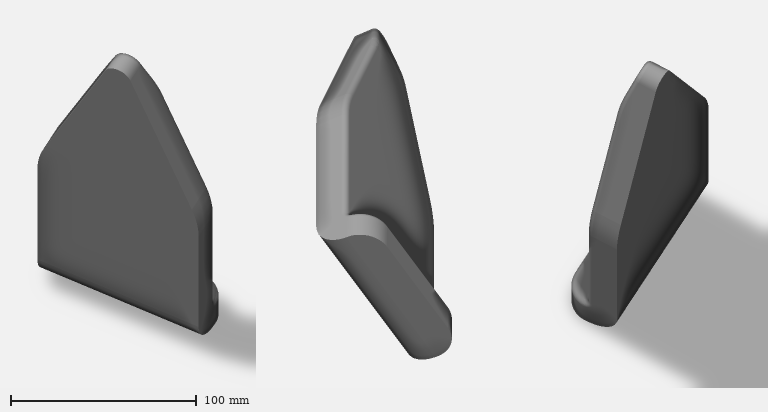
import cadquery as cq
import math

width = 98.0
depth = 35.0
height = 223.5
half_width = width / 2

shoulder_z = 103.5
shoulder_radius = 58.1
tip_radius = 8.0

plate_thickness = 18.8
foot_thickness = 19.0
foot_slope = math.radians(5)
heel_radius = 20.1
inner_radius = 3.4
bevel_start_z = 190.0
bevel_angle = math.radians(13)
bevel_blend_radius = 55.9

foot_corner_radius = 15.6
edge_radius = 3.1


def on_circle(center, radius, angle):
    return (center[0] + radius * math.cos(angle), center[1] + radius * math.sin(angle))


def mirrored(point):
    return (-point[0], point[1])


def make_front_outline():
    """Pointed outline in XZ, extruded through the full depth."""
    shoulder_center = (half_width - shoulder_radius, shoulder_z)
    tip_center = (0, height - tip_radius)
    run = tip_center[0] - shoulder_center[0]
    rise = tip_center[1] - shoulder_center[1]
    radius_change = shoulder_radius - tip_radius
    flank_angle = math.asin(radius_change / math.hypot(run, rise)) - math.atan2(run, rise)

    shoulder_mid = on_circle(shoulder_center, shoulder_radius, flank_angle / 2)
    shoulder_end = on_circle(shoulder_center, shoulder_radius, flank_angle)
    tip_start = on_circle(tip_center, tip_radius, flank_angle)
    return (
        cq.Workplane("XZ")
        .moveTo(-half_width, 0)
        .lineTo(half_width, 0)
        .lineTo(half_width, shoulder_z)
        .threePointArc(shoulder_mid, shoulder_end)
        .lineTo(*tip_start)
        .threePointArc((0, height), mirrored(tip_start))
        .lineTo(*mirrored(shoulder_end))
        .threePointArc(mirrored(shoulder_mid), (-half_width, shoulder_z))
        .close()
        .extrude(-depth)
    )


def make_side_profile():
    """J-shaped profile in YZ, extruded across the full width."""
    heel_end_y = heel_radius * (1 - math.sin(foot_slope))
    heel_end_z = (depth - heel_end_y) * math.tan(foot_slope)
    heel_center = (heel_radius, heel_end_z + heel_radius * math.cos(foot_slope))
    heel_mid = on_circle(heel_center, heel_radius, math.pi + (math.pi / 2 - foot_slope) / 2)

    foot_top_end_z = foot_thickness / math.cos(foot_slope)
    inner_start_y = plate_thickness + inner_radius * (1 - math.sin(foot_slope))
    inner_start_z = foot_top_end_z + (depth - inner_start_y) * math.tan(foot_slope)
    inner_center = (
        plate_thickness + inner_radius,
        inner_start_z + inner_radius * math.cos(foot_slope),
    )
    inner_mid = on_circle(inner_center, inner_radius, math.pi + (math.pi / 2 - foot_slope) / 2)

    blend_center = (plate_thickness - bevel_blend_radius, bevel_start_z)
    blend_mid = on_circle(blend_center, bevel_blend_radius, bevel_angle / 2)
    blend_end = on_circle(blend_center, bevel_blend_radius, bevel_angle)
    tip_thickness = blend_end[0] - (height - blend_end[1]) * math.tan(bevel_angle)

    return (
        cq.Workplane("YZ")
        .moveTo(0, height)
        .lineTo(0, heel_center[1])
        .threePointArc(heel_mid, (heel_end_y, heel_end_z))
        .lineTo(depth, 0)
        .lineTo(depth, foot_top_end_z)
        .lineTo(inner_start_y, inner_start_z)
        .threePointArc(inner_mid, (plate_thickness, inner_center[1]))
        .lineTo(plate_thickness, bevel_start_z)
        .threePointArc(blend_mid, blend_end)
        .lineTo(tip_thickness, height)
        .close()
        .extrude(half_width, both=True)
    )


def make_plan_outline():
    """Block that rounds the two free corners of the foot."""
    return (
        cq.Workplane("XY")
        .box(width, depth, height, centered=(True, False, False))
        .edges("|Z and >Y")
        .fillet(foot_corner_radius)
    )


body = make_side_profile().intersect(make_front_outline()).intersect(make_plan_outline())

result = body.faces(">Y").edges(">Z").fillet(edge_radius)